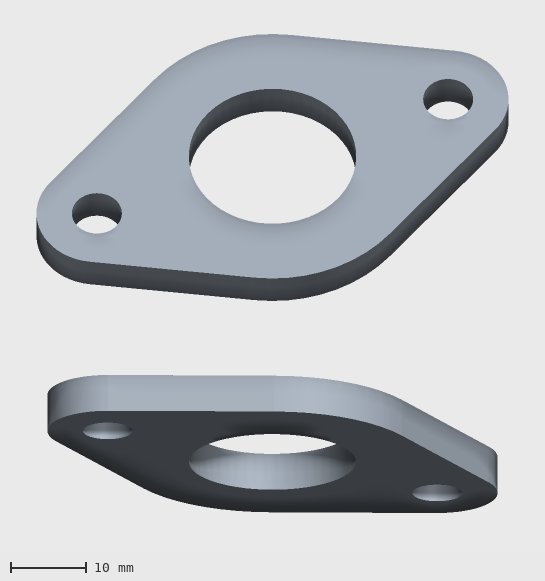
import cadquery as cq
import math

length = 65.95
width = 40.0
thickness = 5.0
end_radius = 8.0
bore_diameter = 22.1
bolt_hole_diameter = 6.6

middle_radius = width / 2
bolt_offset = length / 2 - end_radius

flank_angle = math.asin((middle_radius - end_radius) / bolt_offset)
middle_x = middle_radius * math.cos(flank_angle)
middle_y = middle_radius * math.sin(flank_angle)
end_x = end_radius * math.cos(flank_angle)
end_y = bolt_offset + end_radius * math.sin(flank_angle)


def flange_plate():
    """Rhombic plate with a large arc on each side and a small arc at each end."""
    return (
        cq.Workplane("XY")
        .moveTo(middle_x, -middle_y)
        .threePointArc((middle_radius, 0), (middle_x, middle_y))
        .lineTo(end_x, end_y)
        .threePointArc((0, length / 2), (-end_x, end_y))
        .lineTo(-middle_x, middle_y)
        .threePointArc((-middle_radius, 0), (-middle_x, -middle_y))
        .lineTo(-end_x, -end_y)
        .threePointArc((0, -length / 2), (end_x, -end_y))
        .close()
        .extrude(thickness)
    )


result = (
    flange_plate()
    .faces(">Z")
    .workplane(origin=(0, 0, thickness))
    .hole(bore_diameter)
    .faces(">Z")
    .workplane(origin=(0, 0, thickness))
    .pushPoints([(0, -bolt_offset), (0, bolt_offset)])
    .hole(bolt_hole_diameter)
)